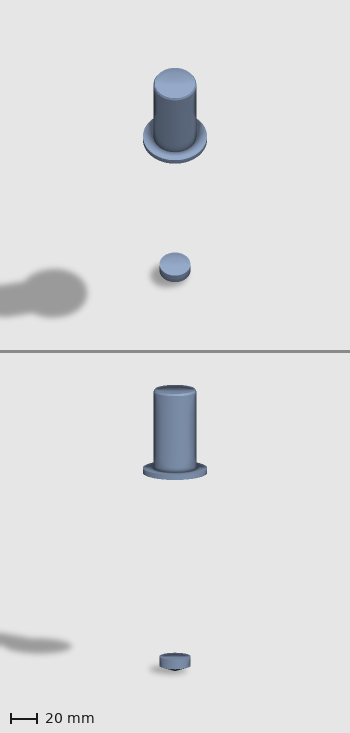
import cadquery as cq

overall_height = 216.0

pin_length = 64.0
pin_diameter = 32.0
flange_diameter = 48.0
flange_thickness = 3.9
pin_chamfer_height = 1.5
pin_chamfer_inset = 0.9

plug_diameter = 23.0
plug_rim_height = 7.3
plug_tip_height = 4.0


def make_flanged_pin():
    """Round pin standing on a thin flange, with a chamfered top edge."""
    flange = cq.Workplane("XY").circle(flange_diameter / 2).extrude(flange_thickness)
    shank = cq.Workplane("XY").circle(pin_diameter / 2).extrude(pin_length)
    shank = shank.faces(">Z").chamfer(pin_chamfer_height, pin_chamfer_inset)
    return flange.union(shank).translate((0, 0, overall_height - pin_length))


def make_plug():
    """Short disc with a shallow cone underneath, its tip at Z = 0."""
    plug_radius = plug_diameter / 2
    plug_height = plug_tip_height + plug_rim_height
    half_profile = (
        cq.Workplane("XZ")
        .moveTo(0, 0)
        .lineTo(plug_radius, plug_tip_height)
        .lineTo(plug_radius, plug_height)
        .lineTo(0, plug_height)
        .close()
    )
    return half_profile.revolve(360, (0, 0, 0), (0, 1, 0))


flanged_pin = make_flanged_pin()
plug = make_plug()

result = cq.Compound.makeCompound([flanged_pin.val(), plug.val()])